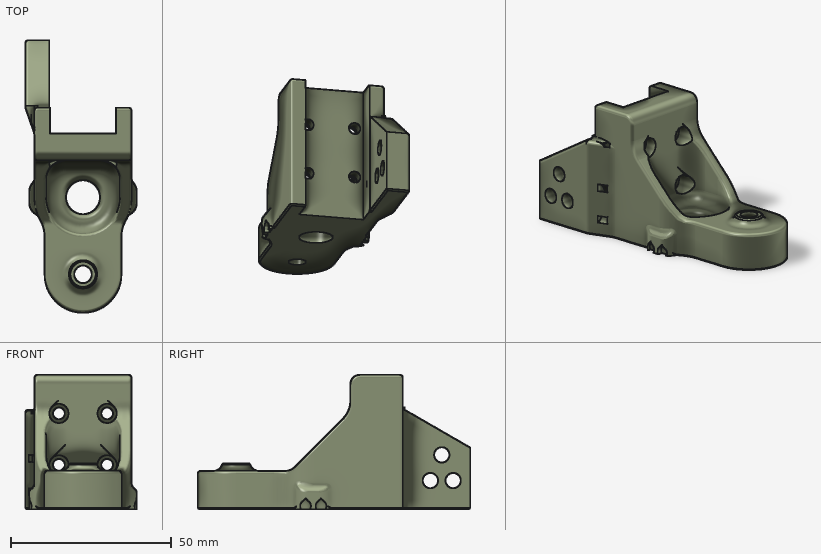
import cadquery as cq
import math


COLUMN_HALF = 15.15
NOSE_HALF = 12.0
NOSE_Y = -24.0
PLATE_TOP = 12.0
COLUMN_FRONT = 11.5
COLUMN_BACK = 27.9
COLUMN_TOP = 41.9
CREST_RADIUS = 3.0
SLOPE_FOOT_Y = -7.0
SLOPE_TOP_RADIUS = 8.0
SLOPE_FOOT_RADIUS = 4.0
WAIST_RADIUS = 10.0
EDGE_RADIUS = 1.0
BOTTOM_CHAMFER = 0.5

CHANNEL_HALF = 10.25
CHANNEL_Y = 19.9

POCKET_RADIUS = 11.5
POCKET_CORNER = 6.0
POCKET_FLOOR = 8.0
POCKET_FLOOR_RADIUS = 4.0
BORE_DIAMETER = 10.5
BORE_LIP_RADIUS = 2.0

BOSS_FOOT = 7.0
BOSS_FLARE_RADIUS = 2.7
BOSS_TOP = 14.4
BOSS_CHAMFER = 0.5
BOSS_HOLE_DIAMETER = 5.4

SCREW_X = 7.5
SCREW_HEIGHTS = (13.85, 29.85)
SCREW_DIAMETER = 3.6
HEAD_DIAMETER = 6.0
HEAD_DEPTH = 4.0

EAR_X = -18.0
EAR_THICKNESS = 7.5
EAR_BACK = 48.9
EAR_BACK_HEIGHT = 19.2
EAR_ANGLE = 30.0
EAR_HOLE_DIAMETER = 4.7
EAR_HOLES = ((36.45, 8.95), (43.55, 8.95), (40.0, 16.95))
FLANK_FRONT = 19.85
FLANK_TOP = 30.7
FLANK_TOP_RADIUS = 1.0
FLANK_COVE_RADIUS = 1.0
FLANK_BLEND_RADIUS = 6.0
FLANK_CORNER_RADIUS = 3.2
FLANK_SLANT = math.atan2(-COLUMN_HALF - EAR_X, COLUMN_BACK - FLANK_FRONT)
FLANK_BACK = COLUMN_BACK + FLANK_CORNER_RADIUS * math.tan(FLANK_SLANT / 2)

TIE_Y = 23.05
TIE_HEIGHT = 10.65
TIE_RADIUS = 5.25
TIE_THICKNESS = 2.2
TIE_WIDTH = 3.2
TIE_OFFSET = 0.7

LUG_REACH = 16.75
LUG_HALF_LENGTH = 1.8
LUG_RADIUS = 4.0
LUG_SHOULDER = 5.75
LUG_EDGE_RADIUS = 1.2
LUG_FOOT_RADIUS = 2.0
NOTCH_Y = 2.4
NOTCH_RADIUS = 1.7
NOTCH_HEIGHT = 1.0


def near(*point):
    """Selector for the edge whose centre is nearest to the point."""
    return cq.selectors.NearestToPointSelector(point)


def side_profile():
    """Side outline of foot, 45 degree slope and column, as a solid across the full width."""
    slope_top = PLATE_TOP + COLUMN_FRONT - SLOPE_FOOT_Y
    nose_end = NOSE_Y - NOSE_HALF
    outline = (
        cq.Workplane("YZ")
        .moveTo(nose_end, 0)
        .lineTo(COLUMN_BACK, 0)
        .lineTo(COLUMN_BACK, COLUMN_TOP)
        .lineTo(COLUMN_FRONT, COLUMN_TOP)
        .lineTo(COLUMN_FRONT, slope_top)
        .lineTo(SLOPE_FOOT_Y, PLATE_TOP)
        .lineTo(nose_end, PLATE_TOP)
        .close()
        .extrude(COLUMN_HALF, both=True)
    )
    outline = outline.edges(near(0, COLUMN_FRONT, COLUMN_TOP)).fillet(CREST_RADIUS)
    outline = outline.edges(near(0, COLUMN_FRONT, slope_top)).fillet(SLOPE_TOP_RADIUS)
    return outline.edges(near(0, SLOPE_FOOT_Y, PLATE_TOP)).fillet(SLOPE_FOOT_RADIUS)


def plan_outline():
    """Plan: round nose, concave waist, arc about the bore axis, then straight column sides."""
    waist_x = NOSE_HALF + WAIST_RADIUS
    centre_distance = COLUMN_HALF + WAIST_RADIUS
    waist_y = -math.sqrt(centre_distance**2 - waist_x**2)
    share = COLUMN_HALF / centre_distance
    join = (waist_x * share, waist_y * share)
    half_join_angle = math.atan2(-waist_y, waist_x) / 2
    body_mid = (COLUMN_HALF * math.cos(half_join_angle), -COLUMN_HALF * math.sin(half_join_angle))
    waist_mid = (
        waist_x - WAIST_RADIUS * math.cos(half_join_angle),
        waist_y + WAIST_RADIUS * math.sin(half_join_angle),
    )

    def mirrored(point):
        return (-point[0], point[1])

    return (
        cq.Workplane("XY")
        .moveTo(-COLUMN_HALF, COLUMN_BACK)
        .lineTo(COLUMN_HALF, COLUMN_BACK)
        .lineTo(COLUMN_HALF, 0)
        .threePointArc(body_mid, join)
        .threePointArc(waist_mid, (NOSE_HALF, waist_y))
        .lineTo(NOSE_HALF, NOSE_Y)
        .threePointArc((0, NOSE_Y - NOSE_HALF), (-NOSE_HALF, NOSE_Y))
        .lineTo(-NOSE_HALF, waist_y)
        .threePointArc(mirrored(waist_mid), mirrored(join))
        .threePointArc(mirrored(body_mid), (-COLUMN_HALF, 0))
        .close()
        .extrude(COLUMN_TOP)
    )


def rounded_body():
    """Foot and column with the top rim and the rear edges of the column rounded."""
    body = side_profile().intersect(plan_outline())
    column_mid_y = (COLUMN_FRONT + COLUMN_BACK) / 2
    rim = body.edges(near(COLUMN_HALF, column_mid_y, COLUMN_TOP))
    rim = rim.add(body.edges(near(-COLUMN_HALF, column_mid_y, COLUMN_TOP)))
    rim = rim.add(body.edges(near(0, COLUMN_BACK, COLUMN_TOP)))
    for side in (-1, 1):
        rim = rim.add(body.edges(near(side * COLUMN_HALF, COLUMN_BACK, COLUMN_TOP / 2)))
    return rim.fillet(EDGE_RADIUS)


def ear_slab(outer_x, front_y):
    """Ear material from outer_x to the inner face of the ear, with its sloping top edge."""
    front_height = EAR_BACK_HEIGHT + (EAR_BACK - front_y) * math.tan(math.radians(EAR_ANGLE))
    return (
        cq.Workplane("YZ", origin=(outer_x, 0, 0))
        .polyline([(front_y, 0), (EAR_BACK, 0), (EAR_BACK, EAR_BACK_HEIGHT), (front_y, front_height)])
        .close()
        .extrude(EAR_X + EAR_THICKNESS - outer_x)
    )


def ear():
    """Plate behind the column, rooted in the column arm next to its rounded rear edge."""
    mid_y = (FLANK_BACK + EAR_BACK) / 2
    mid_height = EAR_BACK_HEIGHT + (EAR_BACK - mid_y) * math.tan(math.radians(EAR_ANGLE))
    plate = ear_slab(EAR_X, FLANK_BACK)
    outer_edges = plate.edges(near(EAR_X, mid_y, mid_height))
    outer_edges = outer_edges.add(plate.edges(near(EAR_X, EAR_BACK, EAR_BACK_HEIGHT / 2)))
    root = ear_slab(EDGE_RADIUS - COLUMN_HALF, COLUMN_BACK - EDGE_RADIUS)
    return outer_edges.fillet(EDGE_RADIUS).union(root)


def flank_wedge(height, top_radius):
    """Wedge that widens the column side out to the face of the ear."""
    inside = EAR_X + EAR_THICKNESS
    wedge = (
        cq.Workplane("XY")
        .polyline(
            [
                (EAR_X, EAR_BACK),
                (EAR_X, COLUMN_BACK),
                (-COLUMN_HALF, FLANK_FRONT),
                (-COLUMN_HALF, COLUMN_FRONT),
                (inside, COLUMN_FRONT),
                (inside, EAR_BACK),
            ]
        )
        .close()
        .extrude(height)
    )
    slant_mid = near((EAR_X - COLUMN_HALF) / 2, (FLANK_FRONT + COLUMN_BACK) / 2, height)
    wedge = wedge.edges(near(-COLUMN_HALF, FLANK_FRONT, height / 2)).fillet(FLANK_BLEND_RADIUS)
    wedge = wedge.edges(near(EAR_X, COLUMN_BACK, height / 2)).fillet(FLANK_CORNER_RADIUS)
    return wedge.edges(slant_mid).fillet(top_radius)


def flank():
    """Flank wedge with a rounded top edge and a cove up to the column side."""
    wedge = flank_wedge(FLANK_TOP, FLANK_TOP_RADIUS)
    cove_top = FLANK_TOP + FLANK_COVE_RADIUS
    cove_foot = -COLUMN_HALF - FLANK_COVE_RADIUS
    cove_sag = FLANK_COVE_RADIUS * (1 - math.sqrt(0.5))
    inside = EDGE_RADIUS - COLUMN_HALF
    cove = (
        cq.Workplane("XZ", origin=(0, COLUMN_FRONT, 0))
        .moveTo(cove_foot, FLANK_TOP)
        .threePointArc((-COLUMN_HALF - cove_sag, FLANK_TOP + cove_sag), (-COLUMN_HALF, cove_top))
        .lineTo(inside, cove_top)
        .lineTo(inside, FLANK_TOP - FLANK_TOP_RADIUS)
        .lineTo(cove_foot, FLANK_TOP - FLANK_TOP_RADIUS)
        .close()
        .extrude(COLUMN_FRONT - EAR_BACK)
    )
    cove_limit = flank_wedge(cove_top, FLANK_TOP_RADIUS + FLANK_COVE_RADIUS)
    wedge = wedge.union(cove.intersect(cove_limit))
    trim_length = EAR_BACK - FLANK_BACK
    trim = (
        cq.Workplane("XY", origin=(0, FLANK_BACK + trim_length / 2, 0))
        .rect(4 * COLUMN_HALF, trim_length)
        .extrude(COLUMN_TOP)
    )
    return wedge.cut(trim)


def pocket():
    """Pocket over the bore: round at the front, two rounded corners against the column wall."""
    column_corner = POCKET_RADIUS - POCKET_CORNER
    corner_mid = column_corner + POCKET_CORNER * math.sqrt(0.5)
    cutter = (
        cq.Workplane("XY", origin=(0, 0, POCKET_FLOOR))
        .moveTo(-POCKET_RADIUS, 0)
        .threePointArc((0, -POCKET_RADIUS), (POCKET_RADIUS, 0))
        .lineTo(POCKET_RADIUS, column_corner)
        .threePointArc((corner_mid, corner_mid), (column_corner, POCKET_RADIUS))
        .lineTo(-column_corner, POCKET_RADIUS)
        .threePointArc((-corner_mid, corner_mid), (-POCKET_RADIUS, column_corner))
        .close()
        .extrude(COLUMN_TOP)
    )
    return cutter.faces("<Z").edges().fillet(POCKET_FLOOR_RADIUS)


def screw_rod(side, height, diameter, end_y):
    return cq.Workplane("XZ", origin=(side * SCREW_X, 0, height)).circle(diameter / 2).extrude(-end_y)


def screw_cut(side, height):
    """Screw hole and head recess, with a 45 degree roof where the recess meets the pocket corner."""
    tangent = HEAD_DIAMETER / 2 * math.sqrt(0.5)
    inward_run = SCREW_X - (POCKET_RADIUS - POCKET_CORNER)
    roof = (
        cq.Workplane("XZ", origin=(side * SCREW_X, 0, height))
        .polyline(
            [
                (0, 0),
                (side * tangent, tangent),
                (-side * inward_run, 2 * tangent + inward_run),
                (-side * inward_run, 0),
            ]
        )
        .close()
        .extrude(-COLUMN_FRONT)
    )
    hole = screw_rod(side, height, SCREW_DIAMETER, CHANNEL_Y)
    head = screw_rod(side, height, HEAD_DIAMETER, COLUMN_FRONT + HEAD_DEPTH)
    return hole.union(head).union(roof)


def boss():
    """Round boss on the nose with a concave flared foot and a chamfered top."""
    shoulder = BOSS_TOP - BOSS_CHAMFER
    flare_centre_z = PLATE_TOP + BOSS_FLARE_RADIUS
    shoulder_radius = BOSS_FOOT - math.sqrt(BOSS_FLARE_RADIUS**2 - (flare_centre_z - shoulder) ** 2)
    flare_sag = BOSS_FLARE_RADIUS * math.sqrt(0.5)
    flare_mid = (BOSS_FOOT - flare_sag, flare_centre_z - flare_sag)
    return (
        cq.Workplane("XZ", origin=(0, NOSE_Y, 0))
        .moveTo(0, PLATE_TOP)
        .lineTo(BOSS_FOOT, PLATE_TOP)
        .threePointArc(flare_mid, (shoulder_radius, shoulder))
        .lineTo(shoulder_radius - BOSS_CHAMFER, BOSS_TOP)
        .lineTo(0, BOSS_TOP)
        .close()
        .revolve(360, (0, 0, 0), (0, 1, 0))
    )


def tie_passage():
    """Ring set square to the slanted flank; its inner half cuts the passage for a cable tie."""
    centre_x = -COLUMN_HALF - (TIE_Y - FLANK_FRONT) * math.tan(FLANK_SLANT)
    ring = (
        cq.Workplane("XZ", origin=(-TIE_OFFSET, TIE_WIDTH / 2, 0))
        .circle(TIE_RADIUS + TIE_THICKNESS / 2)
        .circle(TIE_RADIUS - TIE_THICKNESS / 2)
        .extrude(TIE_WIDTH)
    )
    return ring.rotate((0, 0, 0), (0, 0, 1), math.degrees(FLANK_SLANT)).translate((centre_x, TIE_Y, TIE_HEIGHT))


def lug(side):
    """Rounded lug with a 45 degree top on one side of the column."""
    core_x = LUG_REACH - LUG_RADIUS
    side_shape = (
        cq.Workplane("XZ")
        .polyline(
            [
                (0, 0),
                (side * LUG_REACH, 0),
                (side * LUG_REACH, LUG_SHOULDER),
                (side * core_x, LUG_SHOULDER + LUG_RADIUS),
                (0, LUG_SHOULDER + LUG_RADIUS),
            ]
        )
        .close()
        .extrude(COLUMN_HALF, both=True)
    )
    plan = (
        cq.Workplane("XY", origin=(side * core_x, 0, 0))
        .slot2D(2 * (LUG_HALF_LENGTH + LUG_RADIUS), 2 * LUG_RADIUS, 90)
        .extrude(COLUMN_TOP)
    )
    block = plan.intersect(side_shape)
    return block.edges(near(side * LUG_REACH, 0, LUG_SHOULDER)).fillet(LUG_EDGE_RADIUS)


def notch(side, y):
    """Tear-drop notch in a lug, open at the bottom and ending level with the column side."""
    tangent = NOTCH_RADIUS * math.sqrt(0.5)
    apex = NOTCH_RADIUS * math.sqrt(2)
    return (
        cq.Workplane("YZ", origin=(side * COLUMN_HALF, y, NOTCH_HEIGHT))
        .moveTo(-tangent, tangent)
        .threePointArc((0, -NOTCH_RADIUS), (tangent, tangent))
        .lineTo(0, apex)
        .close()
        .extrude(side * COLUMN_HALF)
    )


def upright_bore(y, diameter):
    return cq.Workplane("XY", origin=(0, y, 0)).circle(diameter / 2).extrude(COLUMN_TOP)


def channel():
    depth = COLUMN_BACK - CHANNEL_Y
    middle = (CHANNEL_Y + COLUMN_BACK) / 2
    return cq.Workplane("XY", origin=(0, middle, 0)).rect(2 * CHANNEL_HALF, depth).extrude(COLUMN_TOP)


def ear_holes():
    face = cq.Workplane("YZ", origin=(EAR_X, 0, 0)).pushPoints(EAR_HOLES)
    return face.circle(EAR_HOLE_DIAMETER / 2).extrude(EAR_THICKNESS)


body = rounded_body().union(flank()).union(ear())
body = body.faces("<Z").edges().chamfer(BOTTOM_CHAMFER)

lug_wall_height = LUG_SHOULDER + LUG_REACH - COLUMN_HALF
for side in (-1, 1):
    body = body.union(lug(side))
    body = body.edges(near(side * COLUMN_HALF, LUG_HALF_LENGTH, lug_wall_height)).fillet(LUG_FOOT_RADIUS)
    for y in (-NOTCH_Y, NOTCH_Y):
        body = body.cut(notch(side, y))

body = body.cut(pocket())
for side in (-1, 1):
    for height in SCREW_HEIGHTS:
        body = body.cut(screw_cut(side, height))
body = body.edges(near(0, -POCKET_RADIUS, PLATE_TOP)).fillet(EDGE_RADIUS)

body = body.cut(upright_bore(0, BORE_DIAMETER))
body = body.edges(near(0, 0, POCKET_FLOOR)).fillet(BORE_LIP_RADIUS)
body = body.union(boss()).cut(upright_bore(NOSE_Y, BOSS_HOLE_DIAMETER))

body = body.cut(channel())
body = body.cut(tie_passage())
result = body.cut(ear_holes())